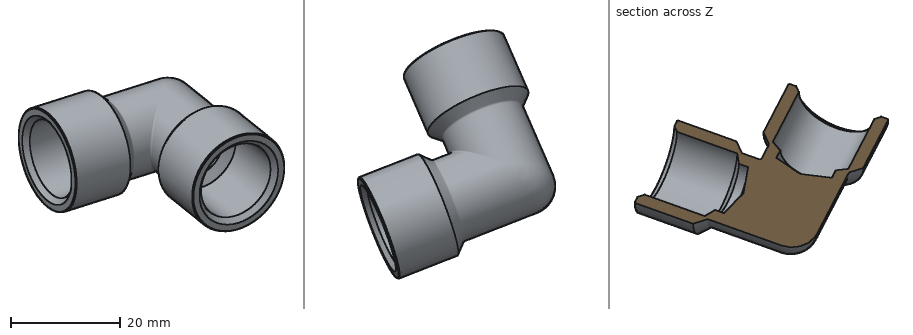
import cadquery as cq
import math

shapes = cq.occ_impl.shapes

pipe_radius = 8.0
collar_radius = 10.0
arm_length = 25.5
collar_length = 11.79
shoulder_angle = 45.0
neck_fillet = 0.5
rim_chamfer = 0.2

outer_bend = 5.0
inner_bend = 0.3

mouth_radius = 8.5
bore_radius = 7.5
core_radius = 5.5
lead_in_length = 1.0
bore_depth = 13.0
core_depth = 16.0
step_half_angle = 59.0
bottom_half_angle = 75.0

blend_intervals = 12

shoulder_slope = math.tan(math.radians(shoulder_angle))
shoulder_end = arm_length - collar_length
shoulder_start = shoulder_end - (collar_radius - pipe_radius) / shoulder_slope
neck_tangent = neck_fillet * math.tan(math.radians(shoulder_angle / 2))
neck_end = shoulder_start + neck_tangent * math.cos(math.radians(shoulder_angle))
neck_end_radius = pipe_radius + neck_tangent * math.sin(math.radians(shoulder_angle))

step_length = (bore_radius - core_radius) / math.tan(math.radians(step_half_angle))
step_start = arm_length - bore_depth
core_start = step_start - step_length
core_bottom = arm_length - core_depth
bottom_tip = core_bottom - core_radius / math.tan(math.radians(bottom_half_angle))

outer_centre = (outer_bend - pipe_radius, pipe_radius - outer_bend)
inner_centre = (pipe_radius + inner_bend, -pipe_radius - inner_bend)

mitre_normal = cq.Vector(1, 1, 0)


def revolve_about_x(profile):
    return profile.close().revolve(360, (0, 0, 0), (1, 0, 0))


def arm_body():
    """Pipe, shoulder and collar of the +X arm as a solid of revolution."""
    profile = (
        cq.Workplane("XY")
        .moveTo(-pipe_radius, 0)
        .lineTo(-pipe_radius, pipe_radius)
        .lineTo(shoulder_start - neck_tangent, pipe_radius)
        .radiusArc((neck_end, neck_end_radius), -neck_fillet)
        .lineTo(shoulder_end, collar_radius)
        .lineTo(arm_length - rim_chamfer, collar_radius)
        .lineTo(arm_length, collar_radius - rim_chamfer)
        .lineTo(arm_length, 0)
    )
    return revolve_about_x(profile)


def arm_sector():
    """Upright wedge about the Z axis, between the planes where the two corner blends begin."""
    reach = arm_length / pipe_radius
    return (
        cq.Workplane("XY")
        .lineTo(outer_centre[0] * reach, arm_length)
        .lineTo(2 * arm_length, arm_length)
        .lineTo(inner_centre[0] * reach, -arm_length)
        .close()
        .extrude(collar_radius, both=True)
    )


def half_ellipse(x, y):
    """Upright half ellipse through (x, y, 0), from the bottom to the top of the pipe on the Z axis."""
    outward = cq.Vector(x, y, 0)
    normal = cq.Vector(y, -x, 0)
    return cq.Edge.makeEllipse(outward.Length, pipe_radius, cq.Vector(), normal, outward, -90, 90)


def corner_blend(centre, radius):
    """Rounded wedge about the Z axis; the rounding tapers to nothing at the top and bottom of the pipe."""
    sections = []
    for index in range(blend_intervals + 1):
        angle = math.radians(90 + 90 * index / blend_intervals)
        x = centre[0] + radius * math.cos(angle)
        y = centre[1] + radius * math.sin(angle)
        sections.append(half_ellipse(x, y))
    skin = shapes.loft(*sections)
    axis = cq.Edge.makeLine(cq.Vector(0, 0, -pipe_radius), cq.Vector(0, 0, pipe_radius))
    first_side = cq.Face.makeFromWires(cq.Wire.assembleEdges([sections[0], axis]))
    last_side = cq.Face.makeFromWires(cq.Wire.assembleEdges([sections[-1], axis]))
    return cq.Workplane(shapes.solid(shapes.shell(skin, first_side, last_side)))


def blind_bore():
    """Blind bore of the +X arm: lead-in, bore, conical step, core and conical bottom."""
    profile = cq.Workplane("XY").polyline(
        [
            (arm_length, 0),
            (arm_length, mouth_radius),
            (arm_length - lead_in_length, bore_radius),
            (step_start, bore_radius),
            (core_start, core_radius),
            (core_bottom, core_radius),
            (bottom_tip, 0),
        ]
    )
    return revolve_about_x(profile)


arm = arm_body().intersect(arm_sector())
result = arm.union(arm.mirror(mitre_normal))
result = result.union(corner_blend(outer_centre, outer_bend))
result = result.union(corner_blend(inner_centre, inner_bend))

bore = blind_bore()
result = result.cut(bore).cut(bore.mirror(mitre_normal)).solids()